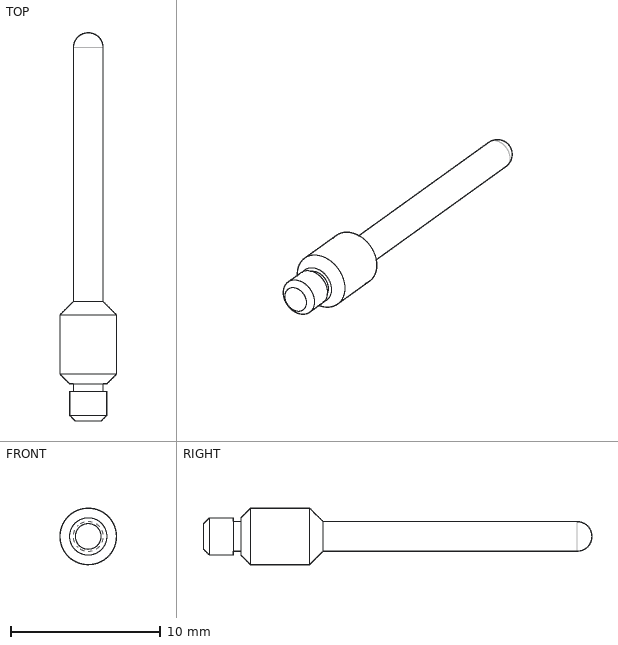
import cadquery as cq

total_length = 26.0
pin_diameter = 2.0
collar_diameter = 3.8
stub_diameter = 2.5
neck_diameter = 2.0
stub_length = 2.0
stub_chamfer = 0.4
collar_start = 2.5
collar_end = 8.0

pin_radius = pin_diameter / 2
collar_radius = collar_diameter / 2
stub_radius = stub_diameter / 2
neck_radius = neck_diameter / 2
rear_taper = collar_radius - stub_radius
front_taper = collar_radius - pin_radius
dome_start = total_length - pin_radius
dome_middle = pin_radius * 2**-0.5

profile = (
    cq.Workplane("XY")
    .moveTo(0, 0)
    .lineTo(stub_radius - stub_chamfer, 0)
    .lineTo(stub_radius, stub_chamfer)
    .lineTo(stub_radius, stub_length)
    .lineTo(neck_radius, stub_length)
    .lineTo(neck_radius, collar_start)
    .lineTo(stub_radius, collar_start)
    .lineTo(collar_radius, collar_start + rear_taper)
    .lineTo(collar_radius, collar_end - front_taper)
    .lineTo(pin_radius, collar_end)
    .lineTo(pin_radius, dome_start)
    .threePointArc((dome_middle, dome_start + dome_middle), (0, total_length))
    .close()
)

result = profile.revolve(360, (0, 0, 0), (0, 1, 0))